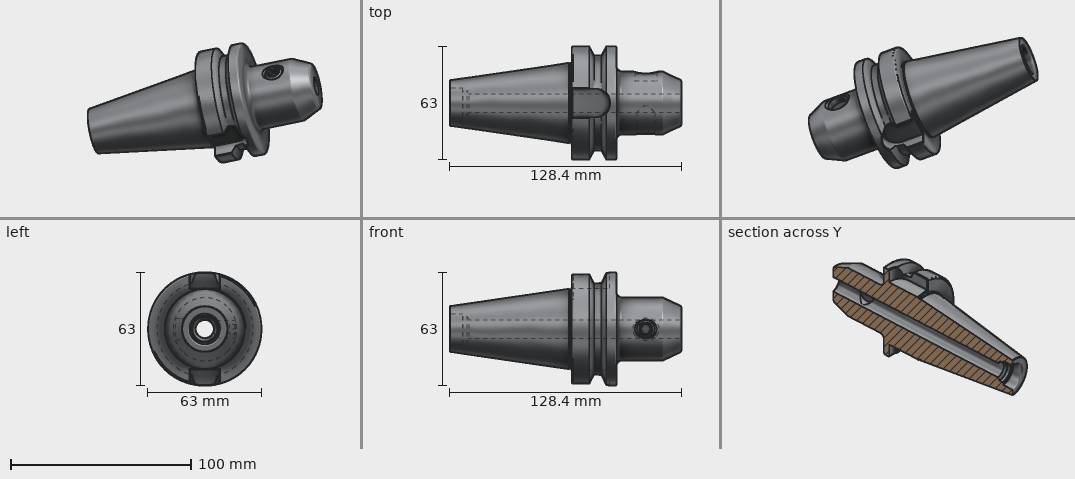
import cadquery as cq
import math

TOTAL_LENGTH = 128.4
TAPER_END = 65.7
FLANGE_START = 67.4
FLANGE_END = 92.3
NECK_END = 117.7

TAPER_SMALL_RADIUS = 12.7
TAPER_SLOPE = 7 / 48
TAPER_LARGE_RADIUS = TAPER_SMALL_RADIUS + TAPER_SLOPE * TAPER_END
TAPER_END_CHAMFER = 0.3
RELIEF_RADIUS = 22.0
RELIEF_FILLET = 0.8

FLANGE_RADIUS = 31.52
FLANGE_FILLET = 1.0
GROOVE_CENTRE = 81.9
GROOVE_WIDTH = 9.6
GROOVE_ROOT_RADIUS = 26.6
GROOVE_ROOT_FILLET = 0.4
GROOVE_HALF_ANGLE = 28.0

NECK_RADIUS = 17.6
NECK_ROOT_FILLET = 3.0
NOSE_HALF_ANGLE = 25.0
NOSE_SHOULDER_FILLET = 1.5
NOSE_TIP_FILLET = 1.9

KEYWAY_HALF_WIDTH = 8.0
KEYWAY_FLOOR = 22.6
KEYWAY_END = 88.3
KEYWAY_CHAMFER = 0.5

BORE_RADIUS = 5.0
MOUTH_RADIUS = 8.5
MOUTH_FILLET = 1.0
MOUTH_DEPTH = 6.7
STEP_RADIUS = 6.9
STEP_CHAMFER = 0.5
STEP_END = 9.4
DRILL_HALF_ANGLE = 59.0

SCREW_X = 108.5
SCREW_RADIUS = 4.9
SCREW_HEAD_Y = -17.5
SCREW_TIP_Y = -5.1
SCREW_CHAMFER = 1.2
SCREW_HOLE_MOUTH_RADIUS = 6.0
SOCKET_ACROSS_FLATS = 5.0
SOCKET_DEPTH = 3.9
SOCKET_COUNTERSINK_RADIUS = 3.3

POCKET_MOUTH_RADIUS = 7.3
POCKET_RADIUS = 6.0
POCKET_DEPTH = 5.1


def fillet_ring(body, x, radius, fillet):
    """Round the circular edge of the given radius that lies at the given X."""
    rings = [
        edge
        for edge in body.edges("%CIRCLE").vals()
        if abs(edge.Center().x - x) < 0.01 and abs(edge.radius() - radius) < 0.01
    ]
    return body.newObject(rings).fillet(fillet)


def make_blank():
    """Turned outside of the holder: taper, grooved flange, neck and nose."""
    groove_depth = FLANGE_RADIUS - GROOVE_ROOT_RADIUS
    groove_flank = groove_depth * math.tan(math.radians(GROOVE_HALF_ANGLE))
    groove_left = GROOVE_CENTRE - GROOVE_WIDTH / 2
    groove_right = GROOVE_CENTRE + GROOVE_WIDTH / 2
    root_left = groove_left + groove_flank
    root_right = groove_right - groove_flank
    nose_length = TOTAL_LENGTH - NECK_END
    nose_radius = NECK_RADIUS - nose_length * math.tan(math.radians(NOSE_HALF_ANGLE))
    relief_start = FLANGE_START - RELIEF_FILLET

    outline = [
        (0, 0),
        (0, TAPER_SMALL_RADIUS - TAPER_END_CHAMFER),
        (TAPER_END_CHAMFER, TAPER_SMALL_RADIUS + TAPER_SLOPE * TAPER_END_CHAMFER),
        (TAPER_END, TAPER_LARGE_RADIUS),
        (relief_start, RELIEF_RADIUS),
    ]
    blank = (
        cq.Workplane("XZ")
        .polyline(outline)
        .radiusArc((FLANGE_START, RELIEF_RADIUS + RELIEF_FILLET), -RELIEF_FILLET)
        .lineTo(FLANGE_START, FLANGE_RADIUS)
        .lineTo(groove_left, FLANGE_RADIUS)
        .lineTo(root_left, GROOVE_ROOT_RADIUS)
        .lineTo(root_right, GROOVE_ROOT_RADIUS)
        .lineTo(groove_right, FLANGE_RADIUS)
        .lineTo(FLANGE_END, FLANGE_RADIUS)
        .lineTo(FLANGE_END, NECK_RADIUS)
        .lineTo(NECK_END, NECK_RADIUS)
        .lineTo(TOTAL_LENGTH, nose_radius)
        .lineTo(TOTAL_LENGTH, 0)
        .close()
        .revolve(360, (0, 0, 0), (1, 0, 0))
    )
    blank = fillet_ring(blank, FLANGE_START, FLANGE_RADIUS, FLANGE_FILLET)
    blank = fillet_ring(blank, root_left, GROOVE_ROOT_RADIUS, GROOVE_ROOT_FILLET)
    blank = fillet_ring(blank, root_right, GROOVE_ROOT_RADIUS, GROOVE_ROOT_FILLET)
    blank = fillet_ring(blank, FLANGE_END, FLANGE_RADIUS, FLANGE_FILLET)
    blank = fillet_ring(blank, FLANGE_END, NECK_RADIUS, NECK_ROOT_FILLET)
    blank = fillet_ring(blank, NECK_END, NECK_RADIUS, NOSE_SHOULDER_FILLET)
    return fillet_ring(blank, TOTAL_LENGTH, nose_radius, NOSE_TIP_FILLET)


def make_bore():
    """Axial bore: rounded mouth, chamfered step with a conical end, then a plain through bore."""
    cone_length = (STEP_RADIUS - BORE_RADIUS) / math.tan(math.radians(DRILL_HALF_ANGLE))
    mouth_edge = MOUTH_RADIUS + MOUTH_FILLET
    return (
        cq.Workplane("XZ")
        .lineTo(0, mouth_edge)
        .radiusArc((MOUTH_FILLET, MOUTH_RADIUS), -MOUTH_FILLET)
        .lineTo(MOUTH_DEPTH, MOUTH_RADIUS)
        .lineTo(MOUTH_DEPTH, STEP_RADIUS + STEP_CHAMFER)
        .lineTo(MOUTH_DEPTH + STEP_CHAMFER, STEP_RADIUS)
        .lineTo(STEP_END, STEP_RADIUS)
        .lineTo(STEP_END + cone_length, BORE_RADIUS)
        .lineTo(TOTAL_LENGTH, BORE_RADIUS)
        .lineTo(TOTAL_LENGTH, 0)
        .close()
        .revolve(360, (0, 0, 0), (1, 0, 0))
    )


def make_keyway_slot():
    """Cutter for the +Z keyway: a flat-bottomed slot with a round end."""
    arc_centre = KEYWAY_END - KEYWAY_HALF_WIDTH
    return (
        cq.Workplane("XY", origin=(0, 0, KEYWAY_FLOOR))
        .moveTo(FLANGE_START, -KEYWAY_HALF_WIDTH)
        .lineTo(arc_centre, -KEYWAY_HALF_WIDTH)
        .threePointArc((KEYWAY_END, 0), (arc_centre, KEYWAY_HALF_WIDTH))
        .lineTo(FLANGE_START, KEYWAY_HALF_WIDTH)
        .close()
        .extrude(FLANGE_RADIUS - KEYWAY_FLOOR)
    )


def make_keyway_front_chamfer():
    """Cutter that bevels the floor and both walls of the +Z keyway at the flange face."""
    bottom = KEYWAY_FLOOR - KEYWAY_CHAMFER
    top = FLANGE_RADIUS + KEYWAY_CHAMFER
    return (
        cq.Workplane("YZ", origin=(FLANGE_START, 0, 0))
        .moveTo(0, (bottom + top) / 2)
        .rect(2 * (KEYWAY_HALF_WIDTH + KEYWAY_CHAMFER), top - bottom)
        .extrude(KEYWAY_CHAMFER, taper=45)
    )


def chamfer_keyway_lips(body):
    """Bevel the edges where the keyway walls meet the outside of the flange."""
    lip_height = math.sqrt(FLANGE_RADIUS**2 - KEYWAY_HALF_WIDTH**2)
    lips = [
        edge
        for edge in body.edges().vals()
        if FLANGE_START < edge.Center().x < KEYWAY_END
        and abs(edge.Center().z) > lip_height - 0.01
        and abs(edge.Center().y) < KEYWAY_HALF_WIDTH + 0.01
    ]
    return body.newObject(lips).chamfer(KEYWAY_CHAMFER)


def make_cross_hole(radius, mouth_radius, depth):
    """Cutter for a hole entering the -Y side, with a 90 degree countersink at the neck surface."""
    sink_depth = mouth_radius - radius
    return (
        cq.Workplane("XY")
        .moveTo(SCREW_X, depth - NECK_RADIUS)
        .lineTo(SCREW_X + radius, depth - NECK_RADIUS)
        .lineTo(SCREW_X + radius, sink_depth - NECK_RADIUS)
        .lineTo(SCREW_X + mouth_radius, -NECK_RADIUS)
        .lineTo(SCREW_X, -NECK_RADIUS)
        .close()
        .revolve(360, (SCREW_X, 0, 0), (SCREW_X, 1, 0))
    )


def make_holder():
    """Tool holder with its bore, keyways, screw hole and pocket."""
    holder = make_blank().cut(make_bore())
    slot = make_keyway_slot()
    front_chamfer = make_keyway_front_chamfer()
    for angle in (0, 180):
        holder = holder.cut(slot.rotate((0, 0, 0), (1, 0, 0), angle))
    holder = chamfer_keyway_lips(holder)
    for angle in (0, 180):
        holder = holder.cut(front_chamfer.rotate((0, 0, 0), (1, 0, 0), angle))
    screw_hole = make_cross_hole(SCREW_RADIUS, SCREW_HOLE_MOUTH_RADIUS, NECK_RADIUS)
    pocket = make_cross_hole(POCKET_RADIUS, POCKET_MOUTH_RADIUS, POCKET_DEPTH)
    return holder.cut(screw_hole).cut(pocket.mirror("XZ"))


def make_clamping_screw():
    """Headless screw with a chamfered outer end and a hexagon socket."""
    socket_across_corners = SOCKET_ACROSS_FLATS / math.cos(math.radians(30))
    screw = (
        cq.Workplane("XZ", origin=(SCREW_X, SCREW_TIP_Y, 0))
        .circle(SCREW_RADIUS)
        .extrude(SCREW_TIP_Y - SCREW_HEAD_Y)
        .faces("<Y")
        .chamfer(SCREW_CHAMFER)
    )
    socket = (
        cq.Workplane("XZ", origin=(SCREW_X, SCREW_HEAD_Y + SOCKET_DEPTH, 0))
        .polygon(6, socket_across_corners)
        .extrude(SOCKET_DEPTH)
    )
    socket_countersink = (
        cq.Workplane("XZ", origin=(SCREW_X, SCREW_HEAD_Y, 0))
        .circle(SOCKET_COUNTERSINK_RADIUS)
        .extrude(-SOCKET_COUNTERSINK_RADIUS / 2, taper=45)
    )
    return screw.cut(socket).cut(socket_countersink)


holder = make_holder()
clamping_screw = make_clamping_screw()

result = cq.Compound.makeCompound([holder.val(), clamping_screw.val()])